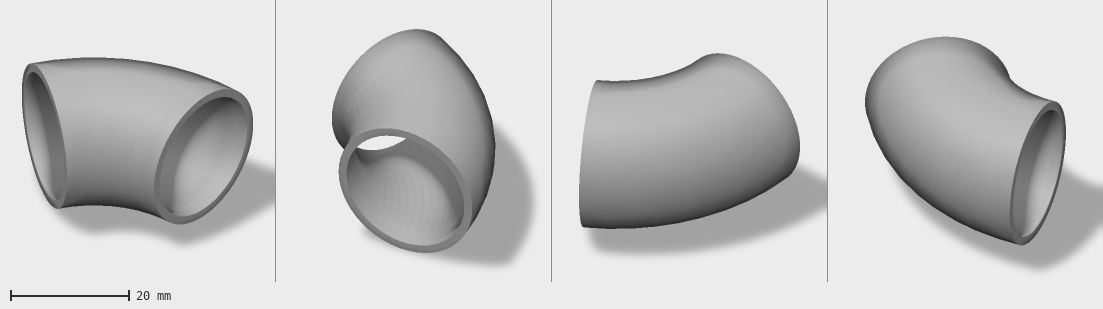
import cadquery as cq
import math

overall_length = 34.65
outer_diameter = 25.0
wall = 1.5
bend_angle = 60.0

outer_radius = outer_diameter / 2
inner_radius = outer_radius - wall
outside_bend_radius = overall_length / math.sin(math.radians(bend_angle))
bend_radius = outside_bend_radius - outer_radius

axis_start = (bend_radius, 0)
axis_end = (bend_radius, -1)
result = (
    cq.Workplane("XZ")
    .circle(outer_radius)
    .circle(inner_radius)
    .revolve(bend_angle, axis_start, axis_end)
)